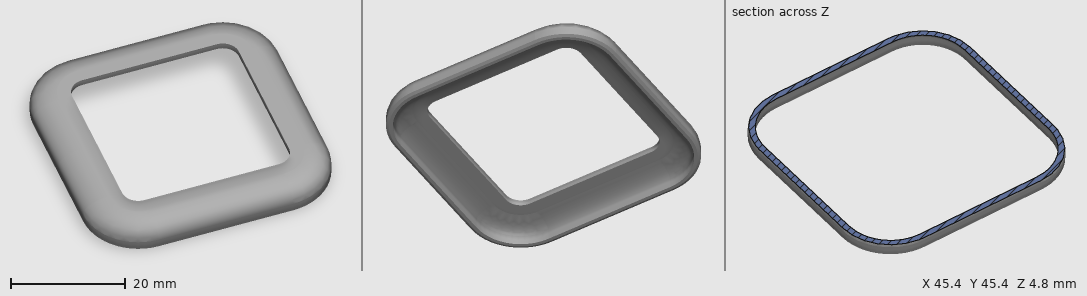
import cadquery as cq

side = 45.4
height = 4.8
opening = 30.98
opening_radius = 3.0
rail_width = (side - opening) / 2
corner_radius = opening_radius + rail_width

wall = 1.2
crown_run = 4.75
crown_drop = 2.9
foot_run = 0.55
foot_rise = 0.25


def frame_path():
    """Outer outline of the frame at the base plane, starting midway along the -Y side."""
    half = side / 2
    straight = half - corner_radius
    return (
        cq.Workplane("XY")
        .moveTo(0, -half)
        .lineTo(straight, -half)
        .radiusArc((half, -straight), -corner_radius)
        .lineTo(half, straight)
        .radiusArc((straight, half), -corner_radius)
        .lineTo(-straight, half)
        .radiusArc((-half, straight), -corner_radius)
        .lineTo(-half, -straight)
        .radiusArc((-straight, -half), -corner_radius)
        .close()
    )


def rail_section():
    """Section through the middle of the -Y rail: a domed shell, open underneath."""
    outer = -side / 2
    inner = -opening / 2
    shoulder = height - crown_drop
    crown = outer + crown_run
    ceiling = height - wall
    return (
        cq.Workplane("YZ")
        .moveTo(outer + foot_run, 0)
        .lineTo(outer, foot_rise)
        .lineTo(outer, shoulder)
        .ellipseArc(crown_run, crown_drop, 90, 180, sense=-1)
        .lineTo(inner, height)
        .lineTo(inner, ceiling)
        .lineTo(crown, ceiling)
        .ellipseArc(crown_run - wall, crown_drop - wall, 90, 180, sense=1)
        .lineTo(outer + wall, 0)
        .close()
    )


frame = rail_section().sweep(frame_path(), transition="right")

result = cq.Compound.makeCompound([frame.val()])